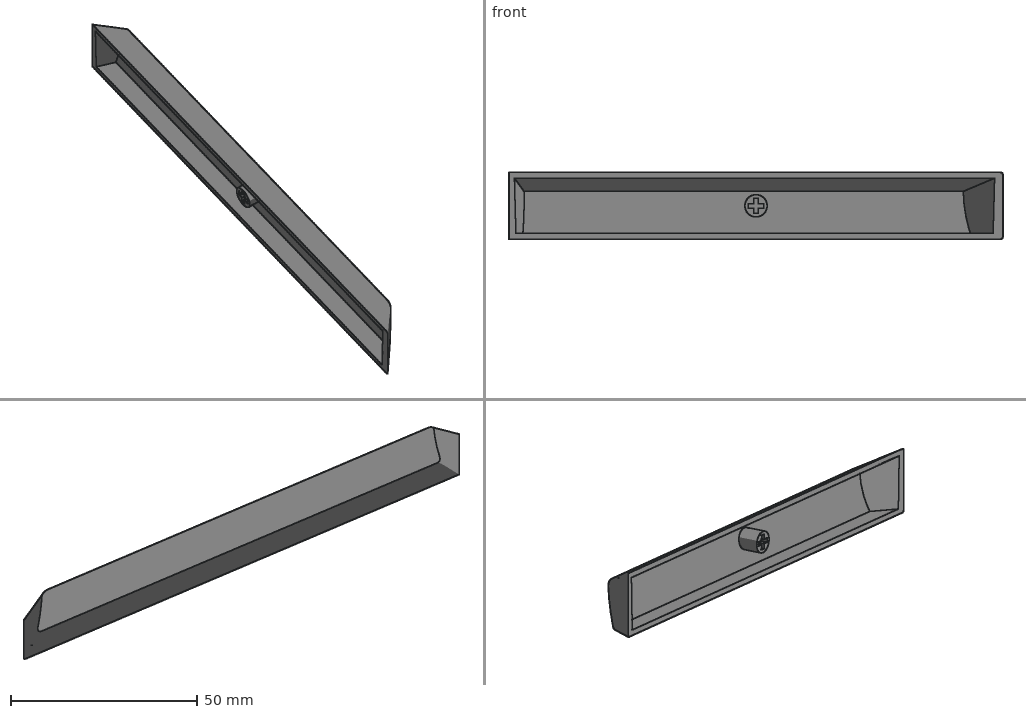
import cadquery as cq
import math

LENGTH = 132.5
DEPTH = 8.7
HEIGHT = 18.0

LEFT_INSET = 3.2
RIGHT_INSET = 10.3
TOP_INSET = 4.4

RIM_RADIUS_LEFT = 0.1
RIM_RADIUS_RIGHT = 0.8
BACK_RADIUS = 1.7

BACK_DEPTH_BOTTOM = 6.2
BACK_BULGE = 0.5

WALL = 1.6
LEFT_WALL_TOP = 1.5
LEFT_WALL_BOTTOM = 1.9
RIGHT_WALL_TOP = 2.3
RIGHT_WALL_BOTTOM = 2.6
BACK_WALL = 1.6

STEM_DIAMETER = 6.0
STEM_RECESS = 1.0
CROSS_SPAN = 4.1
CROSS_ARM_WIDTH = 1.2
CROSS_DEPTH = 3.6

RIM_Y = -DEPTH / 2
BACK_Y = DEPTH / 2
LEFT_X = -LENGTH / 2
RIGHT_X = LENGTH / 2
BOTTOM_Z = -HEIGHT / 2
TOP_Z = HEIGHT / 2


def rounded_section(y, left, right, bottom, top, radius_left, radius_right):
    """Rectangular wire in the XZ plane at y, with its own radius at each end."""
    bend_left = radius_left * (1 - math.sqrt(0.5))
    bend_right = radius_right * (1 - math.sqrt(0.5))
    plane = cq.Plane(origin=(0, y, 0), xDir=(1, 0, 0), normal=(0, -1, 0))
    return (
        cq.Workplane(plane)
        .moveTo(left + radius_left, bottom)
        .lineTo(right - radius_right, bottom)
        .threePointArc((right - bend_right, bottom + bend_right), (right, bottom + radius_right))
        .lineTo(right, top - radius_right)
        .threePointArc((right - bend_right, top - bend_right), (right - radius_right, top))
        .lineTo(left + radius_left, top)
        .threePointArc((left + bend_left, top - bend_left), (left, top - radius_left))
        .lineTo(left, bottom + radius_left)
        .threePointArc((left + bend_left, bottom + bend_left), (left + radius_left, bottom))
        .close()
        .val()
    )


def tapered_block():
    """Outer walls, narrowing from the rim to the back."""
    rim = rounded_section(
        RIM_Y, LEFT_X, RIGHT_X, BOTTOM_Z, TOP_Z, RIM_RADIUS_LEFT, RIM_RADIUS_RIGHT
    )
    back = rounded_section(
        BACK_Y, LEFT_X + LEFT_INSET, RIGHT_X - RIGHT_INSET, BOTTOM_Z, TOP_Z - TOP_INSET,
        BACK_RADIUS, BACK_RADIUS,
    )
    return cq.Workplane(cq.Solid.makeLoft([rim, back], True))


def tapered_cavity():
    """Inner walls, tapering like the outer ones, before the floor is shaped."""
    def section(y, left_inset, right_inset, top_inset):
        left = LEFT_X + left_inset
        right = RIGHT_X - right_inset
        bottom = BOTTOM_Z + WALL
        top = TOP_Z - WALL - top_inset
        corners = [
            (left + LEFT_WALL_BOTTOM, y, bottom),
            (right - RIGHT_WALL_BOTTOM, y, bottom),
            (right - RIGHT_WALL_TOP, y, top),
            (left + LEFT_WALL_TOP, y, top),
        ]
        return cq.Wire.makePolygon([cq.Vector(*corner) for corner in corners], close=True)

    rim = section(RIM_Y, 0, 0, 0)
    back = section(BACK_Y, LEFT_INSET, RIGHT_INSET, TOP_INSET)
    return cq.Workplane(cq.Solid.makeLoft([rim, back], True))


def space_before_back(offset):
    """Everything in front of the curved back surface moved forward by offset."""
    bottom_y = RIM_Y + BACK_DEPTH_BOTTOM
    bend_z = TOP_Z - TOP_INSET
    chord_y = BACK_Y - bottom_y
    chord_z = bend_z - BOTTOM_Z
    chord = math.hypot(chord_y, chord_z)
    middle_y = (BACK_Y + bottom_y) / 2 + BACK_BULGE * chord_z / chord
    middle_z = (bend_z + BOTTOM_Z) / 2 - BACK_BULGE * chord_y / chord
    return (
        cq.Workplane("YZ", origin=(LEFT_X, 0, 0))
        .moveTo(RIM_Y, BOTTOM_Z)
        .lineTo(bottom_y - offset, BOTTOM_Z)
        .threePointArc((middle_y - offset, middle_z), (BACK_Y - offset, bend_z))
        .lineTo(BACK_Y - offset, TOP_Z)
        .lineTo(RIM_Y, TOP_Z)
        .close()
        .extrude(LENGTH)
    )


body = tapered_block().intersect(space_before_back(0))
cavity = tapered_cavity().intersect(space_before_back(BACK_WALL))

stem_front_y = RIM_Y + STEM_RECESS
stem_plane = cq.Workplane("XZ", origin=(0, stem_front_y, 0))
stem = stem_plane.circle(STEM_DIAMETER / 2).extrude(-DEPTH).intersect(cavity)
cross = (
    stem_plane.rect(CROSS_SPAN, CROSS_ARM_WIDTH).extrude(-CROSS_DEPTH)
    .union(stem_plane.rect(CROSS_ARM_WIDTH, CROSS_SPAN).extrude(-CROSS_DEPTH))
)

result = body.cut(cavity.cut(stem)).cut(cross)